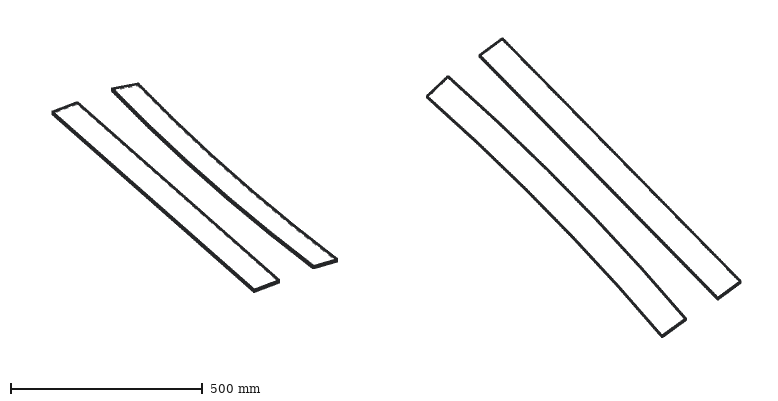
import cadquery as cq
import math

slat_width = 78.0
slat_thickness = 6.0

flat_length = 960.0

bend_radius = 6840.0
bent_length = 959.0
tilt = math.radians(8.265)
sweep = bent_length / bend_radius

overall_length = 962.67
overall_depth = 260.94
bent_half_chord = bend_radius * math.sin(sweep / 2)
bent_centre_x = overall_length - flat_length / 2 - bent_half_chord


def make_flat_slat():
    """Straight rectangular slat, near edge at Y = 0, centred on X = 0 and Z = 0."""
    slat = cq.Workplane("XY").box(flat_length, slat_width, slat_thickness)
    return slat.translate((0, slat_width / 2, 0))


def make_bent_slat():
    """Tilted rectangular section revolved about a vertical axis, centred on Z = 0."""
    width_run = slat_width * math.cos(tilt)
    width_fall = slat_width * math.sin(tilt)
    thickness_run = slat_thickness * math.sin(tilt)
    thickness_fall = slat_thickness * math.cos(tilt)

    inner_radius = bend_radius - width_run - thickness_run
    axis_y = overall_depth + inner_radius * math.cos(sweep / 2)

    outer_y = axis_y - bend_radius
    top_z = (width_fall + thickness_fall) / 2
    section = [
        (outer_y, top_z - thickness_fall),
        (outer_y + thickness_run, top_z),
        (outer_y + thickness_run + width_run, top_z - width_fall),
        (outer_y + width_run, top_z - width_fall - thickness_fall),
    ]
    sweep_degrees = math.degrees(sweep)
    profile = cq.Workplane("YZ").polyline(section).close()
    band = profile.revolve(sweep_degrees, (axis_y, 0), (axis_y, 1))

    band = band.rotate((0, axis_y, 0), (0, axis_y, 1), -sweep_degrees / 2)
    return band.translate((bent_centre_x, 0, 0))


flat_slat = make_flat_slat()
bent_slat = make_bent_slat()

result = cq.Compound.makeCompound([flat_slat.val(), bent_slat.val()])